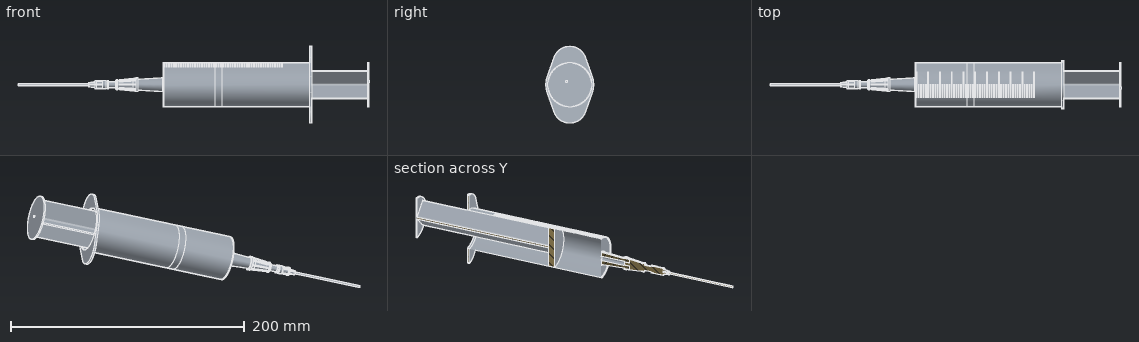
import cadquery as cq
import math

overall_length = 300.7


needle_radius = 1.0
needle_in_hub = 6.0
needle_tip_chamfer = 0.45

hub_front = 60.5
hub_sleeve_start = 66.0
hub_lip_end = 67.0
hub_ring_start = 72.5
hub_ring_groove_start = 75.5
hub_ring_groove_end = 76.5
hub_stem_start = 77.5
hub_collar_start = 83.5
hub_collar_chamfer = 0.75
hub_collar_end = 85.0
hub_rim_start = 101.0
hub_rear = 102.8

hub_nose_front_radius = 1.8
hub_nose_rear_radius = 2.0
hub_sleeve_radius = 2.7
hub_ring_radius = 3.5
hub_ring_groove_radius = 3.3
hub_stem_radius = 2.7
hub_collar_radius = 4.5
hub_cone_front_radius = 3.5
hub_cone_rear_radius = 5.0
hub_rim_radius = 6.0

front_rib_count = 4
front_rib_width = 1.0
nose_rib_radius = 2.7
cone_rib_count = 8
cone_rib_width = 1.0
cone_rib_start = 86.3
cone_rib_front_radius = 4.2
cone_rib_rear_radius = 5.7

barrel_front = 124.2
barrel_radius = 19.0
wall = 0.5
bore_radius = barrel_radius - wall
nozzle_root_radius = 6.0
nozzle_root_chamfer = 0.5
nozzle_tip_radius = 4.5
nozzle_in_hub = 4.5
nozzle_tip = hub_rear - nozzle_in_hub
nozzle_bore_radius = 1.8

flange_front = 249.5
flange_thickness = 1.8
flange_rear = flange_front + flange_thickness
flange_width = 41.2
flange_height = 66.0
flange_end_radius = 14.5

mark_pitch = 2.0
mark_divisions = 10
marks_per_division = 5
mark_width = 0.75
mark_depth = 0.15
mark_half_span = 10.8
first_mark_inset = 1.05
first_mark = barrel_front + first_mark_inset

piston_front = 168.7
piston_rear = 174.7

thumb_disc_thickness = 1.2
thumb_disc_radius = barrel_radius
nub_height = 0.5
nub_radius = 1.0
nub_offset = 4.0
thumb_disc_rear = overall_length - nub_height
thumb_disc_front = thumb_disc_rear - thumb_disc_thickness
plunger_web_span = 32.8
plunger_web_thickness = 1.2
plunger_web_fillet = 0.5
plunger_web_tilt = 45


def revolved(profile):
    """Turn an (x, radius) outline about the X axis."""
    return cq.Workplane("XZ").polyline(profile).close().revolve(360, (0, 0), (1, 0))


def cylinder(start, end, radius):
    """A cylinder on the X axis."""
    return cq.Workplane("YZ", origin=(start, 0, 0)).circle(radius).extrude(end - start)


def make_needle():
    """A plain rod with a chamfered tip, seated in the hub."""
    needle = cylinder(0, hub_front + needle_in_hub, needle_radius)
    return needle.faces("<X").chamfer(needle_tip_chamfer)


def radial_ribs(outline, width, count):
    """Ribs of an (x, radius) outline, evenly spaced about the X axis."""
    rib = cq.Workplane("XZ").polyline(outline).close().extrude(width / 2, both=True)
    ribs = rib
    step_angle = 360 / count
    for i in range(1, count):
        ribs = ribs.union(rib.rotate((0, 0, 0), (1, 0, 0), i * step_angle))
    return ribs


def make_hub(needle, barrel):
    """A stepped, ribbed hub with sockets for the needle and the barrel nozzle."""
    body = revolved([
        (hub_front, 0),
        (hub_front, hub_nose_front_radius),
        (hub_sleeve_start, hub_nose_rear_radius),
        (hub_sleeve_start, hub_ring_radius),
        (hub_lip_end, hub_ring_radius),
        (hub_lip_end, hub_sleeve_radius),
        (hub_ring_start, hub_sleeve_radius),
        (hub_ring_start, hub_ring_radius),
        (hub_ring_groove_start, hub_ring_radius),
        (hub_ring_groove_start, hub_ring_groove_radius),
        (hub_ring_groove_end, hub_ring_groove_radius),
        (hub_ring_groove_end, hub_ring_radius),
        (hub_stem_start, hub_ring_radius),
        (hub_stem_start, hub_stem_radius),
        (hub_collar_start, hub_stem_radius),
        (hub_collar_start, hub_collar_radius - hub_collar_chamfer),
        (hub_collar_start + hub_collar_chamfer, hub_collar_radius),
        (hub_collar_end, hub_collar_radius),
        (hub_collar_end, hub_cone_front_radius),
        (hub_rim_start, hub_cone_rear_radius),
        (hub_rim_start, hub_rim_radius),
        (hub_rear, hub_rim_radius),
        (hub_rear, 0),
    ])
    front_ribs = radial_ribs([
        (hub_front, 0),
        (hub_front, hub_nose_front_radius),
        (hub_sleeve_start, nose_rib_radius),
        (hub_sleeve_start, hub_ring_radius),
        (hub_ring_start, hub_ring_radius),
        (hub_ring_start, 0),
    ], front_rib_width, front_rib_count)
    cone_ribs = radial_ribs([
        (cone_rib_start, 0),
        (cone_rib_start, cone_rib_front_radius),
        (hub_rim_start, cone_rib_rear_radius),
        (hub_rim_start, 0),
    ], cone_rib_width, cone_rib_count)
    return body.union(front_ribs).union(cone_ribs).cut(needle).cut(barrel)


def flange_plate():
    """Two small end arcs and two large side arcs joined by tangent lines."""
    side_radius = flange_width / 2
    end_offset = flange_height / 2 - flange_end_radius
    tilt = math.asin((side_radius - flange_end_radius) / end_offset)
    side_y = side_radius * math.cos(tilt)
    side_z = side_radius * math.sin(tilt)
    end_y = flange_end_radius * math.cos(tilt)
    end_z = end_offset + flange_end_radius * math.sin(tilt)
    return (
        cq.Workplane("YZ", origin=(flange_front, 0, 0))
        .moveTo(side_y, -side_z)
        .threePointArc((side_radius, 0), (side_y, side_z))
        .lineTo(end_y, end_z)
        .threePointArc((0, flange_height / 2), (-end_y, end_z))
        .lineTo(-side_y, side_z)
        .threePointArc((-side_radius, 0), (-side_y, -side_z))
        .lineTo(-end_y, -end_z)
        .threePointArc((0, -flange_height / 2), (end_y, -end_z))
        .close()
        .extrude(flange_thickness)
    )


def graduation_marks():
    """Thin curved bars at the barrel surface, a long one at each division and short ones between."""
    skin = cylinder(barrel_front, flange_front, barrel_radius)
    skin = skin.cut(cylinder(barrel_front, flange_front, barrel_radius - mark_depth))
    marks = []
    for i in range(mark_divisions * marks_per_division + 1):
        is_long = i % marks_per_division == 0
        span = 2 * mark_half_span if is_long else mark_half_span
        bar = cq.Workplane("XY").box(mark_width, span, barrel_radius, centered=(True, False, False))
        bar = bar.translate((first_mark + i * mark_pitch, -mark_half_span, 0))
        marks.append(skin.intersect(bar))
    return marks


def make_barrel():
    """A thin-walled tube with a tapered nozzle, a finger flange and engraved marks."""
    root_start = barrel_front - nozzle_root_chamfer
    shell = revolved([
        (nozzle_tip, 0),
        (nozzle_tip, nozzle_tip_radius),
        (root_start, nozzle_root_radius),
        (barrel_front, nozzle_root_radius + nozzle_root_chamfer),
        (barrel_front, barrel_radius),
        (flange_rear, barrel_radius),
        (flange_rear, 0),
    ])
    barrel = shell.union(flange_plate())
    barrel = barrel.cut(cylinder(barrel_front + wall, flange_rear, bore_radius))
    barrel = barrel.cut(cylinder(nozzle_tip, barrel_front + wall, nozzle_bore_radius))
    for mark in graduation_marks():
        barrel = barrel.cut(mark)
    return barrel


def make_piston():
    """A plain disc that fills the barrel bore."""
    return cylinder(piston_front, piston_rear, bore_radius)


def make_plunger():
    """A cross-shaped rod behind the piston, with a thumb disc and a small nub on its rear face."""
    rod_length = thumb_disc_front - piston_rear
    base = cq.Workplane("YZ", origin=(piston_rear, 0, 0))
    rod = base.rect(plunger_web_span, plunger_web_thickness).extrude(rod_length)
    rod = rod.union(base.rect(plunger_web_thickness, plunger_web_span).extrude(rod_length))
    core_edges = cq.selectors.BoxSelector(
        (piston_rear, -plunger_web_thickness, -plunger_web_thickness),
        (overall_length, plunger_web_thickness, plunger_web_thickness),
    )
    rod = rod.edges("|X").edges(core_edges).fillet(plunger_web_fillet)
    rod = rod.rotate((0, 0, 0), (1, 0, 0), plunger_web_tilt)
    disc = cylinder(thumb_disc_front, thumb_disc_rear, thumb_disc_radius)
    nub = cylinder(thumb_disc_rear, overall_length, nub_radius)
    nub = nub.translate((0, 0, nub_offset)).rotate((0, 0, 0), (1, 0, 0), plunger_web_tilt)
    return rod.union(disc).union(nub)


needle = make_needle()
barrel = make_barrel()
hub = make_hub(needle, barrel)
piston = make_piston()
plunger = make_plunger()

result = cq.Compound.makeCompound(
    [needle.val(), hub.val(), barrel.val(), piston.val(), plunger.val()]
)